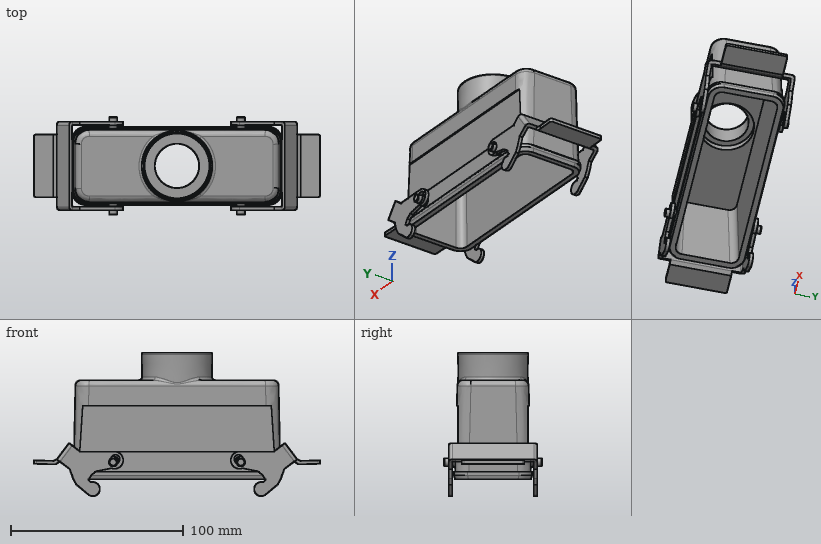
import cadquery as cq
import math

ROOF_Z = 57.6
LIP_TOP_Z = 4.5
LIP_WALL_Z = 2.5
LIP_LENGTH = 121.5
LIP_WIDTH = 45.5
LIP_TAPER = 0.7
SHELL_LENGTH_LOW = 120.0
SHELL_WIDTH_LOW = 44.0
SHELL_LENGTH_HIGH = 117.8
SHELL_WIDTH_HIGH = 41.3
CORNER_RADIUS = 7.8
ROOF_FILLET = 3.5
WALL = 3.3
CAVITY_TOP_Z = 55.6

PANEL_WIDTH = 40.7
PANEL_LOW_Z = 16.0
PANEL_HIGH_Z = 42.7

NOZZLE_TOP_Z = 73.5
NOZZLE_DIAMETER = 41.0
NOZZLE_ROOT_DIAMETER = 40.7
NOZZLE_RIM_FILLET = 1.0
NOZZLE_ROOT_FILLET = 1.8
RING_TOP_DIAMETER = 37.5
RING_LOW_DIAMETER = 37.0
RING_HOLE_DIAMETER = 25.5
RING_LOW_Z = 60.1
SEAT_CHAMFER = 0.7
RING_TOP_Z = NOZZLE_TOP_Z - SEAT_CHAMFER
ENTRY_DIAMETER = 32.0

PIN_X = 37.0
PIN_Z = 10.0
PIN_DIAMETER = 4.8
PIN_CHAMFER = 0.41
PIN_SPAN = 57.0
PIN_BASE_DIAMETER = 7.0
PIN_BASE_Y = 21.5
PIN_CONE_END_Y = 23.4

SHEET = 2.2
LEVER_WIDTH = 51.5
LEVER_BEND_OUTER = 2.2
LEVER_BEND_INNER = 0.8
EYE_X = -36.2
EYE_Z = 11.1
EYE_RADIUS = 5.0
SLOT_WIDTH = 5.0
SLOT_TOP_X = -35.7
SLOT_TOP_Z = 11.8
HOOK_X = -48.8
HOOK_Z = -5.6
HOOK_RADIUS = 4.1
ARM_SHOULDER_X = -56.3
ARM_BACK = [(-58.5, -3.0), (-60.4, 0.7), (-62.2, 6.0)]
ARM_THROAT = [(-46.5, 4.8), (-49.5, 2.7), (-51.3, -0.3), (-50.1, -1.5)]
HOOK_HEEL_ANGLE = 233
EYE_LOW_ANGLE = 250
PLATE_TOP = (-62.5, 21.0)
PLATE_LOW = (-69.7, 11.6)
TAB_WIDTH = 36.5
TAB_END_X = -83.0
TAB_END_Z = 11.1
TAB_ROOT_X = -71.7
TAB_BEND_X = -70.4
TAB_ROOT_Z = 10.8
TAB_CORNER = 1.3


def rounded_loft(size_low, z_low, size_high, z_high, radius):
    """Solid between two centred rounded rectangles at two heights."""
    low = cq.Sketch().rect(*size_low).vertices().fillet(radius)
    high = cq.Sketch().rect(*size_high).vertices().fillet(radius)
    return (
        cq.Workplane("XY")
        .placeSketch(low.moved(cq.Location(cq.Vector(0, 0, z_low))),
                     high.moved(cq.Location(cq.Vector(0, 0, z_high))))
        .loft(ruled=True)
    )


def revolve_about_z(points):
    """Solid of revolution from (radius, z) points."""
    return cq.Workplane("XZ").polyline(points).close().revolve(360, (0, 0, 0), (0, 1, 0))


def cylinder_z(diameter, z_low, z_high):
    return cq.Workplane("XY").workplane(offset=z_low).circle(diameter / 2).extrude(z_high - z_low)


def make_shell():
    """Drafted outer block with a rounded roof edge."""
    shell = rounded_loft(
        (SHELL_LENGTH_LOW, SHELL_WIDTH_LOW), LIP_TOP_Z,
        (SHELL_LENGTH_HIGH, SHELL_WIDTH_HIGH), ROOF_Z, CORNER_RADIUS,
    )
    return shell.faces(">Z").edges().fillet(ROOF_FILLET)


def make_nozzle():
    """Solid cable entry stub, slightly wider at its rim."""
    nozzle = revolve_about_z([
        (0, CAVITY_TOP_Z),
        (NOZZLE_ROOT_DIAMETER / 2, CAVITY_TOP_Z),
        (NOZZLE_DIAMETER / 2, NOZZLE_TOP_Z),
        (0, NOZZLE_TOP_Z),
    ])
    return nozzle.faces(">Z").edges().fillet(NOZZLE_RIM_FILLET)


def make_lip():
    """Wider band round the bottom, drawn in towards the bottom face."""
    lip_size = (LIP_LENGTH, LIP_WIDTH)
    bottom_size = (LIP_LENGTH - 2 * LIP_TAPER, LIP_WIDTH - 2 * LIP_TAPER)
    upper = rounded_loft(lip_size, LIP_WALL_Z, lip_size, LIP_TOP_Z, CORNER_RADIUS)
    lower = rounded_loft(bottom_size, 0, lip_size, LIP_WALL_Z, CORNER_RADIUS)
    return upper.union(lower)


def make_panel_cut(side):
    """Cutter for the flat on the +Y (side=1) or -Y (side=-1) wall."""
    depth = LIP_WIDTH - PANEL_WIDTH
    return cq.Workplane("XY").box(
        LIP_LENGTH, depth, PANEL_HIGH_Z - PANEL_LOW_Z, centered=(True, True, False)
    ).translate((0, side * (PANEL_WIDTH + depth) / 2, PANEL_LOW_Z))


def make_cavity():
    """Inside of the hood, open at the bottom."""
    return rounded_loft(
        (SHELL_LENGTH_LOW - 2 * WALL, SHELL_WIDTH_LOW - 2 * WALL), 0,
        (SHELL_LENGTH_HIGH - 2 * WALL, SHELL_WIDTH_HIGH - 2 * WALL), CAVITY_TOP_Z,
        CORNER_RADIUS - WALL,
    )


def make_ring_seat():
    """Tapered seat for the ring, with a chamfered mouth."""
    top_radius = RING_TOP_DIAMETER / 2
    return revolve_about_z([
        (0, RING_LOW_Z),
        (RING_LOW_DIAMETER / 2, RING_LOW_Z),
        (top_radius, RING_TOP_Z),
        (top_radius + SEAT_CHAMFER, NOZZLE_TOP_Z),
        (0, NOZZLE_TOP_Z),
    ])


def make_pin():
    """Pivot pin with a conical base, on the -Y side at x = 0."""
    radius = PIN_DIAMETER / 2
    end_y = PIN_SPAN / 2
    profile = [
        (0, -PIN_BASE_Y),
        (PIN_BASE_DIAMETER / 2, -PIN_BASE_Y),
        (radius, -PIN_CONE_END_Y),
        (radius, PIN_CHAMFER - end_y),
        (radius - PIN_CHAMFER, -end_y),
        (0, -end_y),
    ]
    pin = cq.Workplane("XY").polyline(profile).close().revolve(360, (0, 0, 0), (0, 1, 0))
    return pin.translate((0, 0, PIN_Z))


def make_housing():
    """Hood with its cable entry, lip, flats, cavity and four pivot pins."""
    housing = make_shell().union(make_nozzle())
    root_edges = cq.selectors.BoxSelector(
        (-NOZZLE_DIAMETER / 2, -SHELL_WIDTH_LOW / 2, ROOF_Z - ROOF_FILLET / 2),
        (NOZZLE_DIAMETER / 2, SHELL_WIDTH_LOW / 2, RING_LOW_Z),
    )
    housing = housing.edges(root_edges).fillet(NOZZLE_ROOT_FILLET)
    housing = housing.union(make_lip())
    for side in (-1, 1):
        housing = housing.cut(make_panel_cut(side))
    housing = housing.cut(make_cavity())
    housing = housing.cut(cylinder_z(ENTRY_DIAMETER, 0, RING_LOW_Z))
    housing = housing.cut(make_ring_seat())
    for x in (-PIN_X, PIN_X):
        pin = make_pin().translate((x, 0, 0))
        housing = housing.union(pin).union(pin.mirror("XZ"))
    return housing


def make_ring():
    """Ring that fills the cable entry and narrows it."""
    hole_radius = RING_HOLE_DIAMETER / 2
    return revolve_about_z([
        (hole_radius, RING_LOW_Z),
        (RING_LOW_DIAMETER / 2, RING_LOW_Z),
        (RING_TOP_DIAMETER / 2, RING_TOP_Z),
        (hole_radius, RING_TOP_Z),
    ])


def extrude_across(outline, width):
    """Extrude an XZ outline symmetrically about y = 0."""
    return outline.extrude(width / 2, both=True)


PLATE_ANGLE = math.atan2(PLATE_TOP[1] - PLATE_LOW[1], PLATE_TOP[0] - PLATE_LOW[0])
PLATE_DIRECTION = cq.Vector(math.cos(PLATE_ANGLE), 0, math.sin(PLATE_ANGLE))
PLATE_NORMAL = (math.sin(PLATE_ANGLE), -math.cos(PLATE_ANGLE))


def inside_plate(point, depth):
    """Point moved from the outer face of the cross plate into the lever."""
    return (point[0] + depth * PLATE_NORMAL[0], point[1] + depth * PLATE_NORMAL[1])


def point_on_circle(x, z, radius, degrees):
    angle = math.radians(degrees)
    return (x + radius * math.cos(angle), z + radius * math.sin(angle))


def make_lever_outline():
    """Side outline of an arm: plate end, pivot eye and hook."""
    eye_low = point_on_circle(EYE_X, EYE_Z, EYE_RADIUS, EYE_LOW_ANGLE)
    hook_heel = point_on_circle(HOOK_X, HOOK_Z, HOOK_RADIUS, HOOK_HEEL_ANGLE)
    eye_top_z = EYE_Z + EYE_RADIUS
    plate_end = [PLATE_LOW, PLATE_TOP, inside_plate(PLATE_TOP, SHEET)]
    return (
        cq.Workplane("XZ")
        .polyline(plate_end + [(ARM_SHOULDER_X, eye_top_z), (EYE_X, eye_top_z)])
        .threePointArc((EYE_X + EYE_RADIUS, EYE_Z), eye_low)
        .polyline(ARM_THROAT + [(HOOK_X, HOOK_Z + HOOK_RADIUS)], includeCurrent=True)
        .threePointArc((HOOK_X + HOOK_RADIUS, HOOK_Z), hook_heel)
        .polyline(ARM_BACK + [inside_plate(PLATE_LOW, SHEET)], includeCurrent=True)
        .close()
    )


def make_lever_inside():
    """Space between the arms, behind the cross plate, with rounded bend corners."""
    reach = LEVER_WIDTH
    along = (math.cos(PLATE_ANGLE) * reach, math.sin(PLATE_ANGLE) * reach)
    low = inside_plate(PLATE_LOW, SHEET)
    start = (low[0] - along[0], low[1] - along[1])
    end = (low[0] + along[0], low[1] + along[1])
    outline = cq.Workplane("XZ").polyline(
        [start, end, inside_plate(end, 2 * reach), inside_plate(start, 2 * reach)]
    ).close()
    space = extrude_across(outline, LEVER_WIDTH - 2 * SHEET)
    return space.edges(cq.selectors.ParallelDirSelector(PLATE_DIRECTION)).fillet(LEVER_BEND_INNER)


def make_slot():
    """Slot through both arms from the pivot pin upwards and inwards."""
    run = SLOT_TOP_X + PIN_X
    rise = SLOT_TOP_Z - PIN_Z
    return (
        cq.Workplane("XZ")
        .center((SLOT_TOP_X - PIN_X) / 2, (SLOT_TOP_Z + PIN_Z) / 2)
        .slot2D(math.hypot(run, rise) + SLOT_WIDTH, SLOT_WIDTH, math.degrees(math.atan2(rise, run)))
        .extrude(LEVER_WIDTH, both=True)
    )


def make_tab():
    """Handle tab bent outwards from the lower edge of the cross plate."""
    outline = cq.Workplane("XZ").polyline([
        (TAB_END_X, TAB_END_Z),
        (TAB_ROOT_X, TAB_ROOT_Z),
        PLATE_LOW,
        inside_plate(PLATE_LOW, SHEET),
        (TAB_BEND_X, TAB_ROOT_Z - SHEET),
        (TAB_END_X, TAB_END_Z - SHEET),
    ]).close()
    return extrude_across(outline, TAB_WIDTH).edges("|Z and <X").fillet(TAB_CORNER)


def make_lever():
    """Lever on the -X side."""
    outer = extrude_across(make_lever_outline(), LEVER_WIDTH)
    plate_edges = cq.selectors.BoxSelector(
        (PLATE_LOW[0], -LEVER_WIDTH, PLATE_LOW[1]), (PLATE_TOP[0], LEVER_WIDTH, PLATE_TOP[1])
    )
    bends = cq.selectors.ParallelDirSelector(PLATE_DIRECTION)
    outer = outer.edges(plate_edges).edges(bends).fillet(LEVER_BEND_OUTER)
    return outer.cut(make_lever_inside()).cut(make_slot()).union(make_tab())


housing = make_housing()
ring = make_ring()
left_lever = make_lever()
levers = [left_lever, left_lever.mirror("YZ")]

result = cq.Compound.makeCompound([
    housing.val(),
    ring.val(),
    *[lever.val() for lever in levers],
])